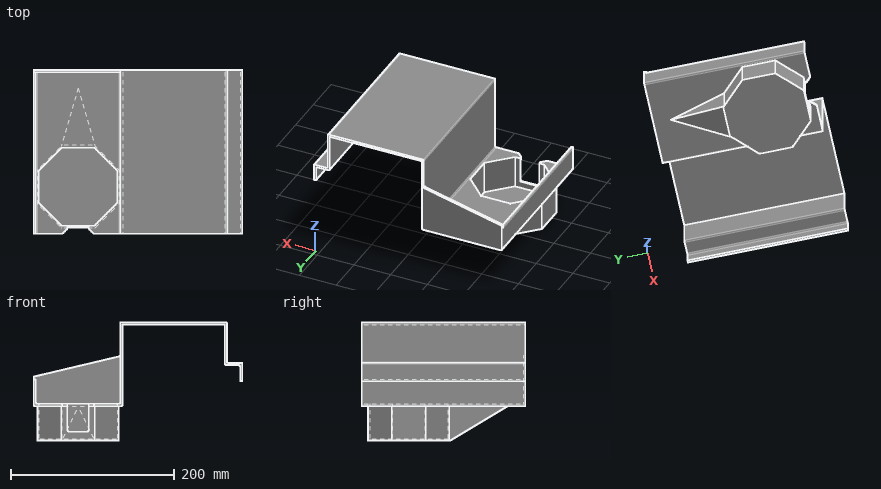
import cadquery as cq
import math

SHEET = 3.0
LENGTH = 201.0
TRAY_WIDTH = 109.2
TRAY_WALL_HEIGHT = 33.0
HAT_WIDTH = 131.2
HAT_HEIGHT = 103.2
STEP_DROP = 49.7
LIP_WIDTH = 18.8
LIP_HEIGHT = 22.5
BEND_RADIUS = 2.0
TRAY_INNER_RADIUS = 1.5
EDGE_RADIUS = 1.0

END_PLATE_LOW = 36.5
END_PLATE_HIGH = 61.7

CUP_DEPTH = 42.0
CUP_OUTER = 100.0
CUP_WALL = 2.0
CUP_FLOOR = 2.0
CUP_SETBACK = 7.8

RAMP_FOOT = 1.2
RAMP_LENGTH = 70.0

SLOT_WIDTH = 26.0
SLOT_BOTTOM = 11.0
SLOT_RADIUS = 2.0
FLARE = 6.3

FLOOR_BOTTOM = CUP_DEPTH
FLOOR_TOP = FLOOR_BOTTOM + SHEET
TRAY_WALL_TOP = FLOOR_BOTTOM + TRAY_WALL_HEIGHT
TOP = FLOOR_BOTTOM + HAT_HEIGHT
HAT_LEFT = TRAY_WIDTH - SHEET
HAT_RIGHT = HAT_LEFT + HAT_WIDTH
STEP_TOP = TOP - STEP_DROP
LIP_RIGHT = HAT_RIGHT + LIP_WIDTH
LIP_BOTTOM = STEP_TOP - LIP_HEIGHT
CUP_X = TRAY_WIDTH / 2
CUP_Y = CUP_SETBACK + CUP_OUTER / 2
CUP_BACK = CUP_SETBACK + CUP_OUTER
CUP_INNER = CUP_OUTER - 2 * CUP_WALL
OCTAGON_SIDES = 8
HALF_SECTOR = math.pi / OCTAGON_SIDES


def round_corners(solid, corners, y, radius):
    """Fillet the edges that run along Y through the given (x, z) corners."""
    for x, z in corners:
        edge = cq.selectors.NearestToPointSelector((x, y, z))
        solid = solid.edges("|Y").edges(edge).fillet(radius)
    return solid


def folded_strip():
    """Constant section of tray, hat and lip, running along Y."""
    lip_inner = LIP_RIGHT - SHEET
    hat_inner = HAT_RIGHT - SHEET
    profile = [
        (0, TRAY_WALL_TOP),
        (0, FLOOR_BOTTOM),
        (TRAY_WIDTH, FLOOR_BOTTOM),
        (TRAY_WIDTH, TOP - SHEET),
        (hat_inner, TOP - SHEET),
        (hat_inner, STEP_TOP - SHEET),
        (lip_inner, STEP_TOP - SHEET),
        (lip_inner, LIP_BOTTOM),
        (LIP_RIGHT, LIP_BOTTOM),
        (LIP_RIGHT, STEP_TOP),
        (HAT_RIGHT, STEP_TOP),
        (HAT_RIGHT, TOP),
        (HAT_LEFT, TOP),
        (HAT_LEFT, FLOOR_TOP),
        (SHEET, FLOOR_TOP),
        (SHEET, TRAY_WALL_TOP),
    ]
    bends = [
        (0, FLOOR_BOTTOM),
        (TRAY_WIDTH, FLOOR_BOTTOM),
        (HAT_RIGHT, TOP),
        (hat_inner, STEP_TOP - SHEET),
        (lip_inner, STEP_TOP - SHEET),
    ]
    tray_inner_bends = [(SHEET, FLOOR_TOP), (HAT_LEFT, FLOOR_TOP)]
    soft_edges = [
        (0, TRAY_WALL_TOP),
        (SHEET, TRAY_WALL_TOP),
        (HAT_LEFT, TOP),
        (HAT_RIGHT, STEP_TOP),
        (LIP_RIGHT, STEP_TOP),
    ]
    strip = cq.Workplane("XZ").polyline(profile).close().extrude(-LENGTH)
    strip = round_corners(strip, bends, LENGTH / 2, BEND_RADIUS)
    strip = round_corners(strip, tray_inner_bends, LENGTH / 2, TRAY_INNER_RADIUS)
    return round_corners(strip, soft_edges, LENGTH / 2, EDGE_RADIUS)


def end_plate():
    """Sloped-top plate across the back of the tray, let into the floor and the hat wall."""
    plate_right = HAT_LEFT + SHEET / 2
    plate_bottom = FLOOR_BOTTOM + BEND_RADIUS
    low_corner = (0, FLOOR_BOTTOM + END_PLATE_LOW)
    outline = [
        (0, plate_bottom),
        (plate_right, plate_bottom),
        (plate_right, FLOOR_BOTTOM + END_PLATE_HIGH),
        (HAT_LEFT, FLOOR_BOTTOM + END_PLATE_HIGH),
        low_corner,
    ]
    plate = cq.Workplane("XZ", origin=(0, LENGTH - SHEET, 0)).polyline(outline).close().extrude(-SHEET)
    return round_corners(plate, [low_corner], LENGTH - SHEET / 2, EDGE_RADIUS)


def octagon(across_flats, bottom, top):
    """Upright octagonal prism on the cup axis, with flats square to X and Y."""
    across_corners = across_flats / math.cos(HALF_SECTOR)
    prism = cq.Workplane("XY").polygon(OCTAGON_SIDES, across_corners).extrude(top - bottom)
    prism = prism.rotate((0, 0, 0), (0, 0, 1), math.degrees(HALF_SECTOR))
    return prism.translate((CUP_X, CUP_Y, bottom))


def ramp():
    """Wedge behind the cup that narrows from the back flat to a point under the tray."""
    half_flat = CUP_OUTER / 2 * math.tan(HALF_SECTOR)
    root = CUP_BACK - CUP_WALL / 2
    foot = CUP_BACK + RAMP_FOOT
    tip = foot + RAMP_LENGTH
    side_outline = [(root, 0), (foot, 0), (tip, CUP_DEPTH), (root, CUP_DEPTH)]
    plan_outline = [
        (CUP_X - half_flat, root),
        (CUP_X - half_flat, CUP_BACK),
        (CUP_X, tip),
        (CUP_X + half_flat, CUP_BACK),
        (CUP_X + half_flat, root),
    ]
    wedge = cq.Workplane("YZ").polyline(side_outline).close().extrude(TRAY_WIDTH)
    plan = cq.Workplane("XY").polyline(plan_outline).close().extrude(CUP_DEPTH)
    return wedge.intersect(plan)


def front_slot():
    """Cutter for the round-cornered slot in the cup and the flared notch in the tray floor."""
    half = SLOT_WIDTH / 2
    depth = CUP_SETBACK + 2 * CUP_WALL
    slot = cq.Workplane("XY").box(SLOT_WIDTH, depth, FLOOR_TOP - SLOT_BOTTOM, centered=(True, False, False))
    slot = slot.edges("|Y and <Z").fillet(SLOT_RADIUS).translate((CUP_X, 0, SLOT_BOTTOM))
    flare_outline = [(-half - FLARE, 0), (half + FLARE, 0), (half, FLARE), (-half, FLARE)]
    flare = cq.Workplane("XY", origin=(CUP_X, 0, FLOOR_BOTTOM)).polyline(flare_outline).close().extrude(SHEET)
    return slot.union(flare)


body = folded_strip().union(end_plate())
body = round_corners(body, [(HAT_LEFT, FLOOR_BOTTOM + END_PLATE_HIGH)], LENGTH - SHEET / 2, EDGE_RADIUS)
body = body.union(octagon(CUP_OUTER, 0, FLOOR_BOTTOM + SHEET / 2))
body = body.union(ramp())
body = body.cut(octagon(CUP_INNER, CUP_FLOOR, FLOOR_TOP))
result = body.cut(front_slot())